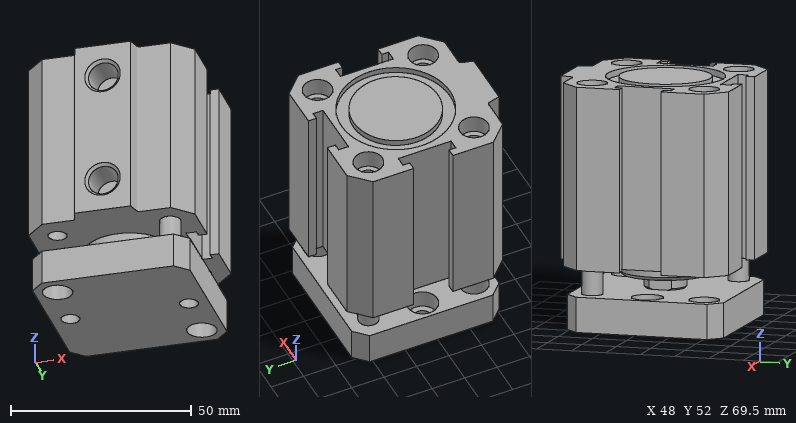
import cadquery as cq
import math

TOTAL_HEIGHT = 69.5
PLATE_THICKNESS = 10.0
HOUSING_HEIGHT = 51.8
HOUSING_BOTTOM = TOTAL_HEIGHT - HOUSING_HEIGHT

HOUSING_WIDTH = 48.0
HALF_WIDTH = HOUSING_WIDTH / 2
HOUSING_CHAMFER = 5.5
TOTAL_DEPTH = 52.0

BOSS_FACE_WIDTH = 16.1
BOSS_TAPER = 15.0
BOSS_ROOT_FILLET = 0.75
BOSS_FACE_Y = HALF_WIDTH - TOTAL_DEPTH

SLOT_OPENING = 12.1
SLOT_WIDTH = 16.25
SLOT_LIP = 2.5
SLOT_DEPTH = 5.5

CORNER_OFFSET = 16.25
BOLT_HOLE_DIAMETER = 5.3
COUNTERBORE_DIAMETER = 8.5
HOUSING_COUNTERBORE_DEPTH = 5.5

RECESS_DIAMETER = 33.3
DISC_DIAMETER = 26.0
RECESS_DEPTH = 1.8

PORT_DIAMETER = 8.55
PORT_RIM_DIAMETER = 10.2
PORT_DEPTH = 10.0
PORT_INSET = 9.65

COLLAR_DIAMETER = 26.0
COLLAR_HEIGHT = 3.75
COLLAR_CHAMFER = 1.0

ROD_DIAMETER = 12.0
ROD_CHAMFER = 0.5
ROD_FLAT_WIDTH = 10.0
ROD_FLAT_HEIGHT = 3.0

PLATE_WIDTH = 45.45
PLATE_CHAMFER = 3.75
PIN_DIAMETER = 6.0
SIDE_HOLE_OFFSET = 17.1
SIDE_COUNTERBORE_DIAMETER = 9.0
SIDE_COUNTERBORE_DEPTH = 5.4

PIN_POINTS = [(-CORNER_OFFSET, CORNER_OFFSET), (CORNER_OFFSET, -CORNER_OFFSET)]
OPEN_HOLE_POINTS = [(-CORNER_OFFSET, -CORNER_OFFSET), (CORNER_OFFSET, CORNER_OFFSET)]


def cylinder(diameter, bottom, top, points=((0, 0),)):
    """Upright cylinders between two heights, one at each point."""
    return (
        cq.Workplane("XY")
        .workplane(offset=bottom)
        .pushPoints(points)
        .circle(diameter / 2)
        .extrude(top - bottom)
    )


def chamfered_block(width, height, chamfer, bottom):
    """Square block centred on the Z axis with its four upright edges chamfered."""
    return (
        cq.Workplane("XY")
        .workplane(offset=bottom)
        .rect(width, width)
        .extrude(height)
        .edges("|Z")
        .chamfer(chamfer)
    )


def port_boss():
    """Boss on the -Y side that widens towards the housing and blends into it."""
    face_half = BOSS_FACE_WIDTH / 2
    taper = math.radians(BOSS_TAPER)
    root_half = face_half + (-HALF_WIDTH - BOSS_FACE_Y) * math.tan(taper)

    fillet_angle = math.pi / 2 - taper
    tangent_length = BOSS_ROOT_FILLET * math.tan(fillet_angle / 2)
    center_x = root_half + tangent_length
    center_y = -HALF_WIDTH - BOSS_ROOT_FILLET

    def fillet_point(angle):
        return (
            center_x - BOSS_ROOT_FILLET * math.sin(angle),
            center_y + BOSS_ROOT_FILLET * math.cos(angle),
        )

    def mirrored(point):
        return (-point[0], point[1])

    side_point = fillet_point(0)
    middle_point = fillet_point(fillet_angle / 2)
    flank_point = fillet_point(fillet_angle)
    return (
        cq.Workplane("XY")
        .workplane(offset=HOUSING_BOTTOM)
        .moveTo(-face_half, BOSS_FACE_Y)
        .lineTo(face_half, BOSS_FACE_Y)
        .lineTo(*flank_point)
        .threePointArc(middle_point, side_point)
        .lineTo(side_point[0], 0)
        .lineTo(-side_point[0], 0)
        .lineTo(*mirrored(side_point))
        .threePointArc(mirrored(middle_point), mirrored(flank_point))
        .close()
        .extrude(HOUSING_HEIGHT)
    )


def t_slot(angle):
    """T-slot cutter for the +X side, turned about the Z axis by the given angle."""
    slot_floor = HALF_WIDTH - SLOT_DEPTH
    profile = [
        (HALF_WIDTH, SLOT_OPENING / 2),
        (HALF_WIDTH - SLOT_LIP, SLOT_OPENING / 2),
        (HALF_WIDTH - SLOT_LIP, SLOT_WIDTH / 2),
        (slot_floor, SLOT_WIDTH / 2),
        (slot_floor, -SLOT_WIDTH / 2),
        (HALF_WIDTH - SLOT_LIP, -SLOT_WIDTH / 2),
        (HALF_WIDTH - SLOT_LIP, -SLOT_OPENING / 2),
        (HALF_WIDTH, -SLOT_OPENING / 2),
    ]
    slot = (
        cq.Workplane("XY")
        .workplane(offset=HOUSING_BOTTOM)
        .polyline(profile)
        .close()
        .extrude(HOUSING_HEIGHT)
    )
    return slot.rotate((0, 0, 0), (0, 0, 1), angle)


def air_port(height):
    """Blind port cutter going in from the boss face, with a chamfered rim."""
    rim_chamfer = (PORT_RIM_DIAMETER - PORT_DIAMETER) / 2
    profile = [
        (0, 0),
        (PORT_RIM_DIAMETER / 2, 0),
        (PORT_DIAMETER / 2, rim_chamfer),
        (PORT_DIAMETER / 2, PORT_DEPTH),
        (0, PORT_DEPTH),
    ]
    cutter = cq.Workplane("XY").polyline(profile).close().revolve(360, (0, 0), (0, 1))
    return cutter.translate((0, BOSS_FACE_Y, height))


def make_housing():
    """Cylinder housing with its boss, slots, holes, ports and front collar."""
    housing = chamfered_block(HOUSING_WIDTH, HOUSING_HEIGHT, HOUSING_CHAMFER, HOUSING_BOTTOM)
    housing = housing.union(port_boss())

    for angle in (0, 90, 180):
        housing = housing.cut(t_slot(angle))

    corners = PIN_POINTS + OPEN_HOLE_POINTS
    counterbore_floor = TOTAL_HEIGHT - HOUSING_COUNTERBORE_DEPTH
    housing = housing.cut(cylinder(BOLT_HOLE_DIAMETER, HOUSING_BOTTOM, TOTAL_HEIGHT, corners))
    housing = housing.cut(cylinder(COUNTERBORE_DIAMETER, counterbore_floor, TOTAL_HEIGHT, corners))

    recess_floor = TOTAL_HEIGHT - RECESS_DEPTH
    disc = cylinder(DISC_DIAMETER, recess_floor, TOTAL_HEIGHT)
    housing = housing.cut(cylinder(RECESS_DIAMETER, recess_floor, TOTAL_HEIGHT).cut(disc))

    for height in (HOUSING_BOTTOM + PORT_INSET, TOTAL_HEIGHT - PORT_INSET):
        housing = housing.cut(air_port(height))

    collar = cylinder(COLLAR_DIAMETER, HOUSING_BOTTOM - COLLAR_HEIGHT, HOUSING_BOTTOM)
    return housing.union(collar.faces("<Z").chamfer(COLLAR_CHAMFER))


def piston_rod():
    """Rod between the plate and the collar, chamfered at its foot and flattened above it."""
    rod = cylinder(ROD_DIAMETER, PLATE_THICKNESS, HOUSING_BOTTOM - COLLAR_HEIGHT)
    flats = (
        cq.Workplane("XY")
        .workplane(offset=PLATE_THICKNESS)
        .rect(2 * ROD_DIAMETER, 2 * ROD_DIAMETER)
        .rect(ROD_FLAT_WIDTH, 2 * ROD_DIAMETER)
        .extrude(ROD_FLAT_HEIGHT)
    )
    return rod.faces("<Z").chamfer(ROD_CHAMFER).cut(flats)


def make_moving_plate():
    """Plate carrying the piston rod and the two guide pins."""
    plate = chamfered_block(PLATE_WIDTH, PLATE_THICKNESS, PLATE_CHAMFER, 0)

    plate = plate.cut(cylinder(COUNTERBORE_DIAMETER, 0, PLATE_THICKNESS, OPEN_HOLE_POINTS))

    side_points = [(-SIDE_HOLE_OFFSET, 0), (SIDE_HOLE_OFFSET, 0)]
    counterbore_floor = PLATE_THICKNESS - SIDE_COUNTERBORE_DEPTH
    plate = plate.cut(cylinder(BOLT_HOLE_DIAMETER, 0, PLATE_THICKNESS, side_points))
    counterbores = cylinder(
        SIDE_COUNTERBORE_DIAMETER, counterbore_floor, PLATE_THICKNESS, side_points
    )
    plate = plate.cut(counterbores)

    pins = cylinder(PIN_DIAMETER, PLATE_THICKNESS, HOUSING_BOTTOM, PIN_POINTS)
    return plate.union(piston_rod()).union(pins)


housing = make_housing()
moving_plate = make_moving_plate()
result = cq.Compound.makeCompound([housing.val(), moving_plate.val()])